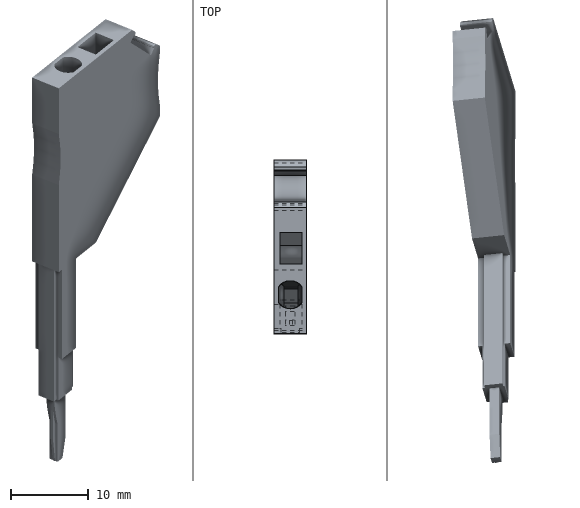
import cadquery as cq


total_height = 59.85
body_width = 4.2
body_depth = 22.3
body_bottom = 31.2
foot_depth = 8.2
slope_top = 42.9

grip_top = 52.7
grip_bottom = 44.75
grip_sagitta = 0.4

holder_profile = [
    (body_depth, 53.95),
    (21.4, 54.6),
    (21.0, 54.6),
    (20.9, 54.45),
    (21.05, 54.25),
    (20.35, 53.55),
    (15.85, 58.05),
    (16.6, 58.75),
    (16.75, 58.6),
    (16.95, 58.75),
    (16.95, 59.1),
    (16.2, total_height),
]

inner_left = -1.345
inner_right = 1.525

pocket_front = 9.0
pocket_back = 13.0
ramp_front = 9.75
ramp_back = 11.35
ledge_depth = 6.0
pocket_depth = 7.8
ramp_middle = (10.9, total_height - 6.6)

entry_y = 5.0
entry_radius = 1.8
entry_flat_width = 3.05
bore_depth = 3.6
funnel_depth = 1.8
seat_depth = 1.8
seat_left = -0.81
seat_size = 1.8
seat_front = 3.95
throat_front = entry_y - entry_radius
throat_back = 6.1

stem_bottom = 10.55
shoulder_bottom = 17.25
core_front = 0.2
core_back = 4.35
core_width = 2.4
side_front = 0.7
side_back = 3.75

blade_width = 1.25
blade_front = 1.1
blade_back = 3.6
blade_taper_start = 3.2
tip_front = 1.8
tip_back = 2.9
hollow_top = 9.5
hollow_middle = (1.4, 7.65)
hollow_bottom = 5.9
rib_left = -0.09
rib_width = 0.35
rib_front = 1.285
rib_top = 8.5
rib_bottom = 3.6
rib_tip_front = 1.75


def box(x_range, y_range, z_range):
    """Box spanning the given (low, high) pair on each axis."""
    corner = cq.Vector(x_range[0], y_range[0], z_range[0])
    size = [high - low for low, high in (x_range, y_range, z_range)]
    return cq.Workplane(obj=cq.Solid.makeBox(*size, corner))


def extrude_across(outline, left, width):
    """Extrude a closed (y, z) outline along +X from the plane x = left."""
    return outline.close().extrude(width).translate((left, 0, 0))


def rectangle_loft(lower, lower_z, upper, upper_z):
    """Loft between two rectangles, each given as (left, right, front, back)."""
    wires = []
    for (left, right, front, back), z in ((lower, lower_z), (upper, upper_z)):
        corners = [(left, front, z), (right, front, z), (right, back, z), (left, back, z)]
        wires.append(cq.Wire.makePolygon([cq.Vector(*corner) for corner in corners], close=True))
    return cq.Workplane(obj=cq.Solid.makeLoft(wires, True))


def make_body():
    grip_middle = (grip_top + grip_bottom) / 2
    outline = (
        cq.Workplane("YZ")
        .moveTo(0, total_height)
        .lineTo(0, grip_top)
        .threePointArc((grip_sagitta, grip_middle), (0, grip_bottom))
        .lineTo(0, body_bottom)
        .lineTo(foot_depth, body_bottom)
        .lineTo(body_depth, slope_top)
        .lineTo(body_depth, grip_bottom)
        .threePointArc((body_depth - grip_sagitta, grip_middle), (body_depth, grip_top))
    )
    for point in holder_profile:
        outline = outline.lineTo(*point)
    return extrude_across(outline, -body_width / 2, body_width)


def make_pocket():
    ledge_z = total_height - ledge_depth
    floor_z = total_height - pocket_depth
    outline = (
        cq.Workplane("YZ")
        .moveTo(pocket_front, total_height)
        .lineTo(pocket_front, ledge_z)
        .lineTo(ramp_front, ledge_z)
        .threePointArc(ramp_middle, (ramp_back, floor_z))
        .lineTo(pocket_back, floor_z)
        .lineTo(pocket_back, total_height)
    )
    return extrude_across(outline, inner_left, inner_right - inner_left)


def make_wire_entry():
    bore_z = total_height - bore_depth
    throat_z = bore_z - funnel_depth
    seat_z = throat_z - seat_depth
    flat_half = entry_flat_width / 2
    entry_back = entry_y + entry_radius
    seat_right = seat_left + seat_size

    mouth = (-flat_half, flat_half, throat_front, entry_back)
    throat = (seat_left, seat_right, throat_front, throat_back)
    seat = (seat_left, seat_right, seat_front, seat_front + seat_size)

    bore = box(mouth[:2], mouth[2:], (bore_z, total_height))
    funnel = rectangle_loft(throat, throat_z, mouth, bore_z)
    taper = rectangle_loft(seat, seat_z, throat, throat_z)
    round_limit = (
        cq.Workplane("XY", origin=(0, entry_y, seat_z))
        .circle(entry_radius)
        .extrude(total_height - seat_z)
    )
    return bore.union(funnel).union(taper).intersect(round_limit)


def make_stem():
    core = box((-core_width / 2, core_width / 2), (core_front, core_back), (stem_bottom, body_bottom))
    sides = box((inner_left, inner_right), (side_front, side_back), (stem_bottom, body_bottom))
    shoulder = box(
        (-body_width / 2, body_width / 2), (side_front, side_back), (shoulder_bottom, body_bottom)
    )
    return core.union(sides).union(shoulder)


def make_blade():
    outline = (
        cq.Workplane("YZ")
        .moveTo(blade_back, stem_bottom)
        .lineTo(blade_front, stem_bottom)
        .lineTo(blade_front, hollow_top)
        .threePointArc(hollow_middle, (tip_front, hollow_bottom))
        .lineTo(tip_front, 0)
        .lineTo(tip_back, 0)
        .lineTo(blade_back, blade_taper_start)
    )
    blade = extrude_across(outline, -blade_width / 2, blade_width)

    rib_outline = (
        cq.Workplane("YZ")
        .moveTo(rib_front, rib_top)
        .lineTo(rib_front, rib_bottom)
        .lineTo(rib_tip_front, 0)
        .lineTo(tip_back, 0)
        .lineTo(tip_back, rib_top)
    )
    return blade.union(extrude_across(rib_outline, rib_left, rib_width))


result = make_body().cut(make_pocket()).cut(make_wire_entry())
result = result.union(make_stem()).union(make_blade())